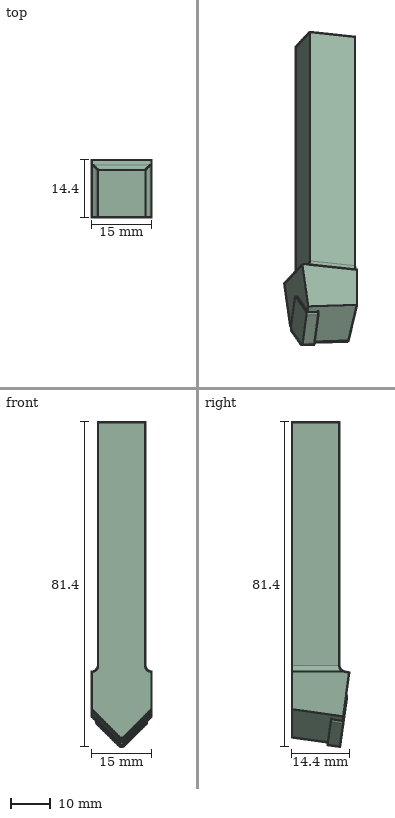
import cadquery as cq
import math


overall_height = 81.35
shank_width = 11.9
head_width = 15.03
head_depth = 14.38
shoulder_height = 18.65
shoulder_fillet = 1.5
ledge_slope = 12.0
rake_tilt = 8.0
nose_flat = 1.0
flank_set_back = 0.35

insert_side = 9.525
insert_thickness = 3.18
insert_corner_radius = 0.8
insert_proud = 0.3

tilt_sin = math.sin(math.radians(rake_tilt))
tilt_cos = math.cos(math.radians(rake_tilt))
ledge_tan = math.tan(math.radians(ledge_slope))
half_shank = shank_width / 2
half_head = head_width / 2
shoulder_root = shoulder_height + (head_depth - shank_width) * ledge_tan
side_ledge_edge = shoulder_root - (half_head - half_shank) * ledge_tan
seat_foot_depth = head_depth - shoulder_height * tilt_sin / tilt_cos

sharp_half_diagonal = insert_side / math.sqrt(2)
round_half_diagonal = sharp_half_diagonal - insert_corner_radius * (math.sqrt(2) - 1)
holder_apex_drop = sharp_half_diagonal - flank_set_back * math.sqrt(2)

seat_normal = cq.Vector(0, tilt_cos, -tilt_sin)
seat_down = cq.Vector(0, -tilt_sin, -tilt_cos)
proud_edge = cq.Vector(0, head_depth, shoulder_height) + seat_normal * insert_proud
edge_to_tip = proud_edge.z / tilt_cos
insert_centre = proud_edge + seat_down * (edge_to_tip - round_half_diagonal)
seat_plane = cq.Plane(origin=insert_centre, xDir=(-1, 0, 0), normal=seat_normal)


def make_insert():
    """Square insert standing on one corner, with rounded corners."""
    outline = cq.Sketch().rect(insert_side, insert_side, angle=45).vertices().fillet(insert_corner_radius)
    return cq.Workplane(seat_plane).placeSketch(outline).extrude(-insert_thickness)


def side_prism():
    """Shank and head profile along X: flat front, stepped back and leaning seat face."""
    prism = (
        cq.Workplane("YZ")
        .moveTo(0, overall_height)
        .lineTo(shank_width, overall_height)
        .lineTo(shank_width, shoulder_root)
        .lineTo(head_depth, shoulder_height)
        .lineTo(seat_foot_depth, 0)
        .lineTo(0, 0)
        .close()
        .extrude(half_head, both=True)
    )
    root = cq.selectors.NearestToPointSelector((0, shank_width, shoulder_root))
    return prism.edges("|X").edges(root).fillet(shoulder_fillet)


def front_prism():
    """Shank and head profile along Y: a filleted shoulder on each side."""
    prism = (
        cq.Workplane("XZ", origin=(0, head_depth, 0))
        .moveTo(-half_shank, overall_height)
        .lineTo(-half_shank, shoulder_root)
        .lineTo(-half_head, side_ledge_edge)
        .lineTo(-half_head, 0)
        .lineTo(half_head, 0)
        .lineTo(half_head, side_ledge_edge)
        .lineTo(half_shank, shoulder_root)
        .lineTo(half_shank, overall_height)
        .close()
        .extrude(head_depth)
    )
    for side in (-1, 1):
        root = cq.selectors.NearestToPointSelector((side * half_shank, head_depth / 2, shoulder_root))
        prism = prism.edges("|Y").edges(root).fillet(shoulder_fillet)
    return prism


def nose_prism():
    """Right-angled V with a flat nose, square to the seat face and open above the head."""
    reach_x = head_width
    reach_up = 2 * overall_height
    half_flat = nose_flat / 2
    return (
        cq.Workplane(seat_plane)
        .moveTo(-reach_x, reach_up)
        .lineTo(-reach_x, reach_x - holder_apex_drop)
        .lineTo(-half_flat, half_flat - holder_apex_drop)
        .lineTo(half_flat, half_flat - holder_apex_drop)
        .lineTo(reach_x, reach_x - holder_apex_drop)
        .lineTo(reach_x, reach_up)
        .close()
        .extrude(2 * head_depth, both=True)
    )


def make_holder(seated_insert):
    """Shank and head in one piece, with a pocket matching the insert."""
    body = side_prism().intersect(front_prism()).intersect(nose_prism())
    return body.cut(seated_insert)


insert = make_insert()
holder = make_holder(insert)

result = cq.Compound.makeCompound([holder.val(), insert.val()])